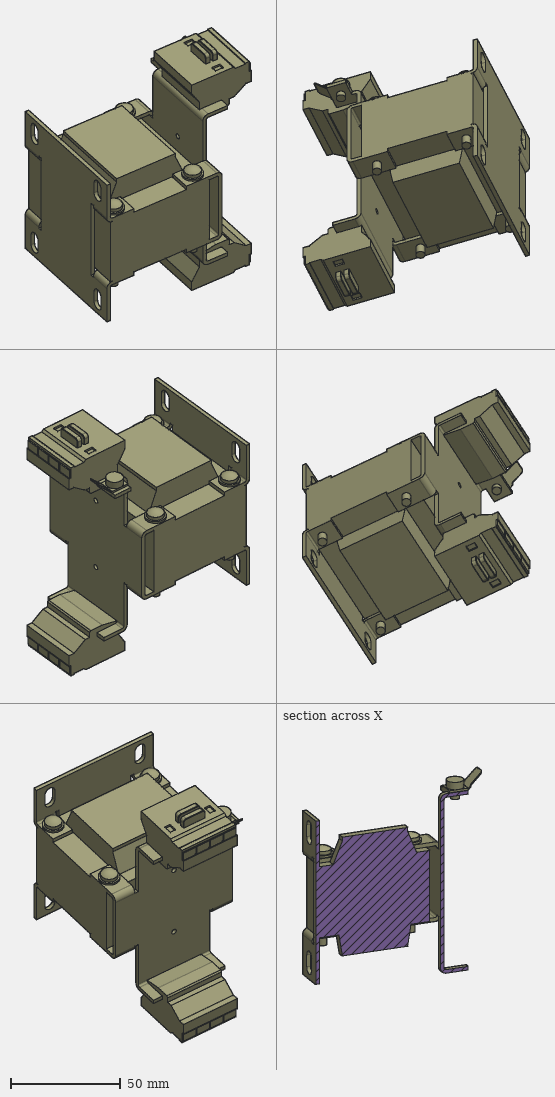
import cadquery as cq
import math


sheet = 2.0
bend_inner = 1.0
bend_outer = bend_inner + sheet

core_width = 66.0
core_depth = 55.0
core_height = 35.0
core_half = core_height / 2
core_front = sheet
core_back = core_front + core_depth
core_mid_y = core_front + core_depth / 2

winding_width = 43.0
winding_top = 30.3
winding_bottom = -28.0
winding_end_y = (13.3, 46.0)
winding_shoulder_z = 28.4
winding_top_root_y = (8.7, 50.5)
winding_bottom_root_y = (11.6, 47.7)

foot_height = 80.0
tab_inner_x = 22.0
foot_tab_length = 15.0
window_inner_x = 20.2
relief_half = 21.0
slot_x = 25.4
slot_z = 31.8
slot_length = 11.3
slot_width = 5.5
rear_face = 64.2
rear_inner = rear_face - sheet
rear_tab_length = 20.0
neck_width = 40.4
flange_outer_z = 44.0
flange_end = 76.1
neck_hole_diameter = 2.5
neck_hole_z = 19.0

screw_spacing_x = 55.0
screw_spacing_y = 44.0
screw_diameter = 4.2
washer_diameter = 10.0
washer_thickness = 1.0
screw_head_diameter = 8.2
screw_head_rim = 1.8
screw_dome_height = 1.5
screw_end_z = -24.6

ear_outer_x = -28.2
ear_front = 66.7
earth_x = -22.1
earth_y = 71.3
clamp_width = 8.2
clamp_thickness = 1.0
clamp_shoulder_end = 77.6
clamp_tongue_width = 6.4
clamp_tongue_end = 83.5
clamp_tongue_rise = 7.2
clamp_tongue_chamfer = 0.7
clamp_tongue_thickness = 0.6
earth_head_height = 3.6
earth_screw_end_z = 39.4

block_width = 30.4
block_top = 60.1
block_front = 59.5
block_back = 92.7
block_step_y = 91.6
block_chin_z = 55.1
block_waist_y = 63.8
block_waist_top_z = 48.2
block_foot_z = 39.2
block_foot_corner = 0.7
block_foot_front = 73.0
block_foot_back = 80.4
block_foot_rise_z = 41.0
block_slope_root_y = 83.1
block_slope_root_z = 42.7
block_slope_end_y = 89.7
block_back_low_z = 47.4
recess_front_y = 82.7
recess_floor_y = 83.9
recess_z = 59.0
rib_y = 89.4
rib_z = 59.5
prong_width = 12.2
prong_thickness = 2.7
prong_centres_y = (78.85, 74.85)
prong_round = 1.7
prong_chamfer = 0.25
prong_top = 65.0
pocket_x = 11.2
pocket_y = 76.7
pocket_width = 3.0
pocket_length = 4.4
pocket_depth = 1.0
pad_count = 4
pad_pitch = block_width / pad_count
pad_width = 7.0
pad_back = 92.3
pad_z = (53.7, 58.2)


def box(x_range, y_range, z_range):
    """Axis-aligned box between the given limits."""
    size = [high - low for low, high in (x_range, y_range, z_range)]
    return cq.Workplane("XY").box(*size, centered=False).translate((x_range[0], y_range[0], z_range[0]))


def cylinder(x, y, z_low, z_high, diameter):
    """Upright cylinder."""
    return cq.Workplane("XY", origin=(x, y, z_low)).circle(diameter / 2).extrude(z_high - z_low)


def prism(points, width, x_mid=0.0):
    """Closed YZ outline extruded symmetrically about x_mid."""
    return cq.Workplane("YZ", origin=(x_mid, 0, 0)).polyline(points).close().extrude(width / 2, both=True)


def mirror_z(shape):
    return shape.mirror("XY")


def bent_strip(x_range, corner, y_sign, z_sign, y_length):
    """Bend with a flat leg along Y; corner is where its outer faces would meet.

    The Z leg ends with the bend, where it joins a flat plate.
    """
    def at(y, z):
        return corner[0] + y_sign * y, corner[1] + z_sign * z

    def arc_middle(radius):
        offset = bend_outer - radius * math.sqrt(0.5)
        return at(offset, offset)

    return (
        cq.Workplane("YZ", origin=(x_range[0], 0, 0))
        .moveTo(*at(0, bend_outer))
        .threePointArc(arc_middle(bend_outer), at(bend_outer, 0))
        .lineTo(*at(y_length, 0))
        .lineTo(*at(y_length, sheet))
        .lineTo(*at(bend_outer, sheet))
        .threePointArc(arc_middle(bend_inner), at(sheet, bend_outer))
        .close()
        .extrude(x_range[1] - x_range[0])
    )


def four_tabs(corner, y_sign, z_sign, length):
    """Bent tabs at both sides, above and below the core."""
    tab = bent_strip((tab_inner_x, core_width / 2), corner, y_sign, z_sign, length)
    pair = tab.union(tab.mirror("YZ"))
    return pair.union(mirror_z(pair))


def make_core():
    half = core_width / 2
    return box((-half, half), (core_front, core_back), (-core_half, core_half))


def make_winding():
    outline = [
        (winding_bottom_root_y[0], -core_half),
        (winding_end_y[0], winding_bottom),
        (winding_end_y[1], winding_bottom),
        (winding_bottom_root_y[1], -core_half),
        (winding_top_root_y[1], core_half),
        (winding_end_y[1], winding_shoulder_z),
        (winding_end_y[1], winding_top),
        (winding_end_y[0], winding_top),
        (winding_end_y[0], winding_shoulder_z),
        (winding_top_root_y[0], core_half),
    ]
    return prism(outline, winding_width)


def make_foot_bracket():
    """Mounting plate with slots, side windows and the tabs bent out of them."""
    half = core_width / 2
    plate = box((-half, half), (0, sheet), (-foot_height / 2, foot_height / 2))
    slots = (
        cq.Workplane("XZ")
        .rect(2 * slot_x, 2 * slot_z, forConstruction=True)
        .vertices()
        .slot2D(slot_length, slot_width, 90)
        .extrude(-sheet)
    )
    plate = plate.cut(slots)
    bend_start = core_half + bend_outer
    window = box((window_inner_x, half), (0, sheet), (-bend_start, bend_start))
    relief = box((window_inner_x, tab_inner_x), (0, sheet), (-relief_half, relief_half))
    opening = window.union(relief)
    plate = plate.cut(opening).cut(opening.mirror("YZ"))
    return plate.union(four_tabs((0, core_half), 1, 1, foot_tab_length))


def make_rear_bracket():
    """Rear plate with core tabs, necks and the flanges that carry the blocks."""
    half = core_width / 2
    tab_outer_z = core_half + sheet
    plate_half = tab_outer_z - bend_outer
    neck_half = flange_outer_z - bend_outer
    neck_x = (-neck_width / 2, neck_width / 2)
    plate = box((-half, half), (rear_inner, rear_face), (-plate_half, plate_half))
    neck = box(neck_x, (rear_inner, rear_face), (-neck_half, neck_half))
    holes = (
        cq.Workplane("XZ", origin=(0, rear_inner, 0))
        .pushPoints([(0, neck_hole_z), (0, -neck_hole_z)])
        .circle(neck_hole_diameter / 2)
        .extrude(-sheet)
    )
    flange = bent_strip(neck_x, (rear_inner, flange_outer_z), 1, -1, flange_end - rear_inner)
    ear = box((ear_outer_x, neck_x[0]), (ear_front, flange_end), (flange_outer_z - sheet, flange_outer_z))
    tabs = four_tabs((rear_face, tab_outer_z), -1, -1, rear_tab_length)
    return plate.union(neck.cut(holes)).union(tabs).union(flange).union(mirror_z(flange)).union(ear)


def make_core_screw(x, y):
    """Domed screw with washer, running down through the tabs and core."""
    washer_base = core_half + sheet
    head_base = washer_base + washer_thickness
    rim_top = head_base + screw_head_rim
    rim_radius = screw_head_diameter / 2
    dome_radius = (rim_radius ** 2 + screw_dome_height ** 2) / (2 * screw_dome_height)
    dome_centre = rim_top + screw_dome_height - dome_radius
    half_radius = rim_radius / 2
    head = (
        cq.Workplane("XZ")
        .moveTo(0, head_base)
        .lineTo(rim_radius, head_base)
        .lineTo(rim_radius, rim_top)
        .threePointArc(
            (half_radius, dome_centre + math.sqrt(dome_radius ** 2 - half_radius ** 2)),
            (0, rim_top + screw_dome_height),
        )
        .close()
        .revolve(360, (0, 0, 0), (0, 1, 0))
        .translate((x, y, 0))
    )
    washer = cylinder(x, y, washer_base, head_base, washer_diameter)
    shank = cylinder(x, y, screw_end_z, head_base, screw_diameter)
    return head.union(washer).union(shank)


def make_core_screws():
    screws = cq.Workplane("XY")
    for side in (-1, 1):
        for end in (-1, 1):
            x = side * screw_spacing_x / 2
            y = core_mid_y + end * screw_spacing_y / 2
            screws = screws.union(make_core_screw(x, y))
    return screws


def make_earth_terminal():
    """Screw and clamp plate with a tongue sloping up and back."""
    clamp_x = (earth_x - clamp_width / 2, earth_x + clamp_width / 2)
    clamp_top = flange_outer_z + clamp_thickness
    clamp = box(clamp_x, (ear_front, flange_end), (flange_outer_z, clamp_top))

    slope = clamp_tongue_rise / (clamp_tongue_end - flange_end)
    lift = clamp_tongue_thickness * math.sqrt(1 + slope ** 2)

    def sloped_piece(y_end, width):
        z_end = flange_outer_z + slope * (y_end - flange_end)
        outline = [
            (flange_end, flange_outer_z),
            (y_end, z_end),
            (y_end, z_end + lift),
            (flange_end, flange_outer_z + lift),
        ]
        return prism(outline, width, earth_x)

    shoulder = sloped_piece(clamp_shoulder_end, clamp_width)
    tongue = sloped_piece(clamp_tongue_end, clamp_tongue_width)
    tongue = tongue.faces(">Y").edges("|Z").chamfer(clamp_tongue_chamfer)
    head = cylinder(earth_x, earth_y, clamp_top, clamp_top + earth_head_height, clamp_width)
    shank = cylinder(earth_x, earth_y, earth_screw_end_z, clamp_top, screw_diameter)
    return clamp.union(shoulder).union(tongue).union(head).union(shank)


def make_terminal_block():
    """Upper terminal block with two prongs and two pockets on top and pads on its back."""
    foot_end_y = block_foot_back - block_foot_corner
    outline = [
        (block_front, block_top),
        (recess_front_y, block_top),
        (recess_floor_y, recess_z),
        (rib_y, recess_z),
        (rib_y, rib_z),
        (block_step_y, rib_z),
        (block_step_y, pad_z[0]),
        (block_back, pad_z[0]),
        (block_back, block_back_low_z),
        (block_slope_end_y, block_back_low_z),
        (block_slope_root_y, block_slope_root_z),
        (block_foot_back, block_slope_root_z),
        (block_foot_back, block_foot_z + block_foot_corner),
        (foot_end_y, block_foot_z),
        (block_foot_front, block_foot_z),
        (block_waist_y, block_foot_rise_z),
        (block_waist_y, block_waist_top_z),
        (block_front, block_chin_z),
    ]
    block = prism(outline, block_width)
    for y in prong_centres_y:
        prong = box(
            (-prong_width / 2, prong_width / 2),
            (y - prong_thickness / 2, y + prong_thickness / 2),
            (block_top, prong_top),
        )
        prong = prong.edges("|Y and >Z").fillet(prong_round)
        block = block.union(prong.faces("|Y").edges("not <Z").chamfer(prong_chamfer))
    for index in range(pad_count):
        pad_x = (index - (pad_count - 1) / 2) * pad_pitch
        pad = box((pad_x - pad_width / 2, pad_x + pad_width / 2), (block_step_y, pad_back), pad_z)
        block = block.union(pad)
    pockets = (
        cq.Workplane("XY", origin=(0, pocket_y, block_top))
        .pushPoints([(-pocket_x, 0), (pocket_x, 0)])
        .rect(pocket_width, pocket_length)
        .extrude(-pocket_depth)
    )
    return block.cut(pockets)


terminal_block = make_terminal_block()
result = (
    make_core()
    .union(make_winding())
    .union(make_foot_bracket())
    .union(make_rear_bracket())
    .union(make_core_screws())
    .union(make_earth_terminal())
    .union(terminal_block)
    .union(mirror_z(terminal_block))
)